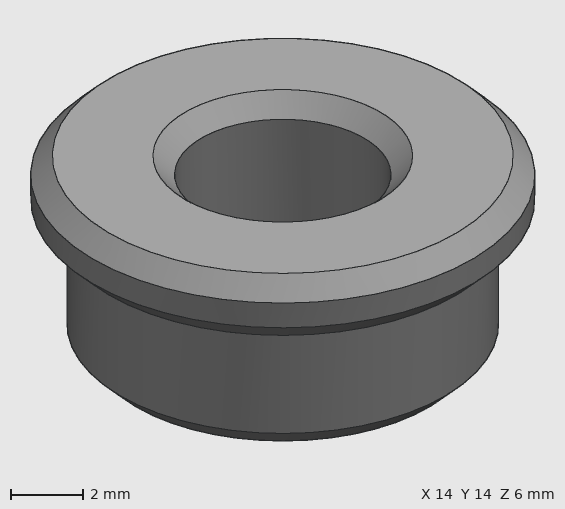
import cadquery as cq

flange_diameter = 14.0
body_diameter = 12.0
bore_diameter = 6.0
total_height = 6.0
flange_height = 2.0
chamfer = 0.6

body_height = total_height - flange_height

body = (
    cq.Workplane("XY")
    .circle(body_diameter / 2)
    .extrude(body_height)
    .faces("<Z")
    .chamfer(chamfer)
)

flange = (
    cq.Workplane("XY", origin=(0, 0, body_height))
    .circle(flange_diameter / 2)
    .extrude(flange_height)
    .faces("<Z or >Z")
    .chamfer(chamfer)
)

bore = cq.Workplane("XY").circle(bore_diameter / 2).extrude(total_height)
bore_mouth = (
    cq.Workplane("XY", origin=(0, 0, total_height - chamfer))
    .circle(bore_diameter / 2)
    .workplane(offset=chamfer)
    .circle(bore_diameter / 2 + chamfer)
    .loft(ruled=True)
)

result = body.union(flange).cut(bore).cut(bore_mouth)